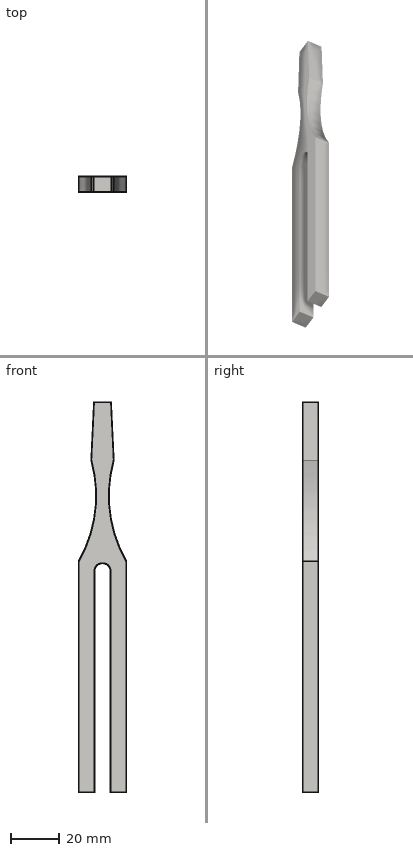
import cadquery as cq

total_length = 160.98
thickness = 6.5
fork_width = 19.6

prong_width = 6.5
slot_width = fork_width - 2 * prong_width
slot_radius = slot_width / 2
slot_top_z = 94.5
shoulder_z = 95.4

neck_width = 5.4
neck_mid_z = 120.35

handle_base_z = 137.0
handle_base_width = 9.36
handle_top_width = 7.1


def make_body():
    """Fork outline without the slot, extruded symmetrically about the XZ plane."""
    half_fork = fork_width / 2
    half_neck = neck_width / 2
    half_base = handle_base_width / 2
    half_top = handle_top_width / 2
    return (
        cq.Workplane("XZ")
        .moveTo(-half_fork, 0)
        .lineTo(half_fork, 0)
        .lineTo(half_fork, shoulder_z)
        .threePointArc((half_neck, neck_mid_z), (half_base, handle_base_z))
        .lineTo(half_top, total_length)
        .lineTo(-half_top, total_length)
        .lineTo(-half_base, handle_base_z)
        .threePointArc((-half_neck, neck_mid_z), (-half_fork, shoulder_z))
        .close()
        .extrude(thickness / 2, both=True)
    )


def make_slot():
    """Slot between the prongs, open at the bottom and semicircular at the top."""
    straight_top_z = slot_top_z - slot_radius
    return (
        cq.Workplane("XZ")
        .moveTo(-slot_radius, 0)
        .lineTo(slot_radius, 0)
        .lineTo(slot_radius, straight_top_z)
        .threePointArc((0, slot_top_z), (-slot_radius, straight_top_z))
        .close()
        .extrude(thickness / 2, both=True)
    )


result = make_body().cut(make_slot())